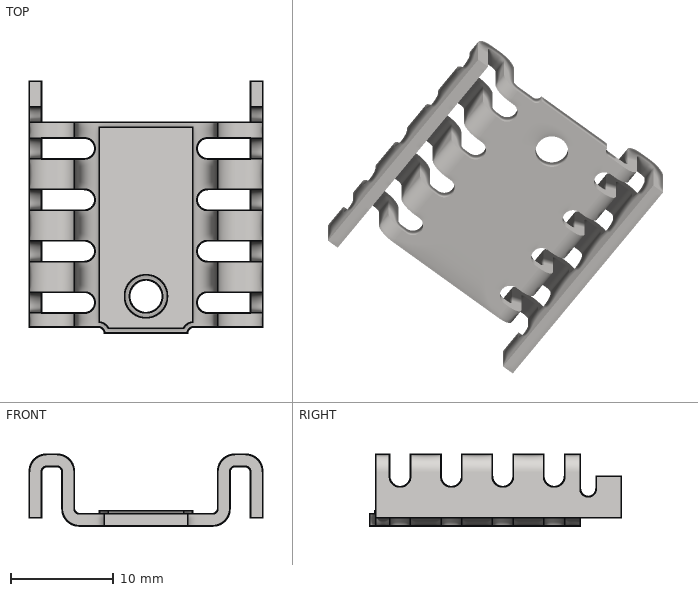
import cadquery as cq

width = 22.8
length = 24.6
height = 7.0
half_width = width / 2

sheet = 1.2
inner_bend = 0.5
outer_bend = inner_bend + sheet
fold_flat = 1.0
fold_width = 2 * outer_bend + fold_flat
leg_bottom = 0.79
leg_inner_x = half_width - sheet
riser_inner_x = half_width - fold_width
riser_outer_x = riser_inner_x + sheet
base_flat_end = riser_inner_x - inner_bend
bend_height = height - outer_bend

tab_depth = 0.6
wing_length = 4.0
fin_back = length - wing_length
fin_length = fin_back - tab_depth

slot_count = 4
first_slot_y = 2.98
slot_pitch = 5.02
slot_radius = 1.0
slot_inner_x = 5.0
leg_slot_bottom = 3.84

wing_top = 4.87
notch_radius = 0.76
notch_bottom = 2.88

tab_half_width = 4.05
hole_diameter = 3.2
hole_y = 3.6

pad_thickness = 0.3
pad_half_width = 4.55
pad_margin = 0.5
pad_hole_diameter = 4.2

corner_center_x = tab_half_width + tab_depth
pad_corner_radius = tab_depth + pad_margin


def half_channel():
    """Right half of the bent sheet, at constant section along the fins."""
    return (
        cq.Workplane("XZ", origin=(0, tab_depth, 0))
        .moveTo(0, 0)
        .lineTo(base_flat_end, 0)
        .tangentArcPoint((riser_outer_x, outer_bend), relative=False)
        .lineTo(riser_outer_x, bend_height)
        .tangentArcPoint((riser_outer_x + inner_bend, height - sheet), relative=False)
        .lineTo(leg_inner_x - inner_bend, height - sheet)
        .tangentArcPoint((leg_inner_x, bend_height), relative=False)
        .lineTo(leg_inner_x, leg_bottom)
        .lineTo(half_width, leg_bottom)
        .lineTo(half_width, bend_height)
        .tangentArcPoint((half_width - outer_bend, height), relative=False)
        .lineTo(riser_inner_x + outer_bend, height)
        .tangentArcPoint((riser_inner_x, bend_height), relative=False)
        .lineTo(riser_inner_x, outer_bend)
        .tangentArcPoint((base_flat_end, sheet), relative=False)
        .lineTo(0, sheet)
        .close()
        .extrude(-fin_length)
    )


def wing():
    """Extension of the outer leg behind the fins, with its round-bottomed notch."""
    notch_arc_z = notch_bottom + notch_radius
    notch_back = fin_back + 2 * notch_radius
    return (
        cq.Workplane("YZ", origin=(leg_inner_x, 0, 0))
        .moveTo(fin_back, leg_bottom)
        .lineTo(length, leg_bottom)
        .lineTo(length, wing_top)
        .lineTo(notch_back, wing_top)
        .lineTo(notch_back, notch_arc_z)
        .threePointArc((fin_back + notch_radius, notch_bottom), (fin_back, notch_arc_z))
        .close()
        .extrude(sheet)
    )


def slot_cutter(slot_y):
    """Round-ended slot through base, riser and fold, running down into the outer leg."""
    slot_width = 2 * slot_radius
    arc_center_x = slot_inner_x + slot_radius
    base_slot_length = leg_inner_x - arc_center_x
    leg_arc_z = leg_slot_bottom + slot_radius
    leg_slot_height = height - leg_arc_z

    base_end = cq.Workplane("XY").center(arc_center_x, slot_y).circle(slot_radius).extrude(height)
    base_run = (
        cq.Workplane("XY")
        .center(arc_center_x + base_slot_length / 2, slot_y)
        .rect(base_slot_length, slot_width)
        .extrude(height)
    )
    leg_plane = cq.Workplane("YZ", origin=(leg_inner_x, 0, 0))
    leg_end = leg_plane.center(slot_y, leg_arc_z).circle(slot_radius).extrude(sheet)
    leg_run = (
        leg_plane.center(slot_y, leg_arc_z + leg_slot_height / 2)
        .rect(slot_width, leg_slot_height)
        .extrude(sheet)
    )
    return base_end.union(base_run).union(leg_end).union(leg_run)


def finned_side():
    """Right half of the heatsink: channel, wing and slots."""
    side = half_channel().union(wing())
    for index in range(slot_count):
        slot_y = first_slot_y + index * slot_pitch
        side = side.cut(slot_cutter(slot_y))
    return side


def front_tab():
    """Tab on the front edge, blended into it by concave quarter rounds."""
    return (
        cq.Workplane("XY")
        .moveTo(-corner_center_x, tab_depth)
        .radiusArc((-tab_half_width, 0), tab_depth)
        .lineTo(tab_half_width, 0)
        .radiusArc((corner_center_x, tab_depth), tab_depth)
        .close()
        .extrude(sheet)
    )


def make_heatsink():
    """Folded heatsink with mirrored sides, front tab and mounting hole."""
    right_side = finned_side()
    hole = cq.Workplane("XY").center(0, hole_y).circle(hole_diameter / 2).extrude(sheet)
    return right_side.union(right_side.mirror("YZ")).union(front_tab()).cut(hole)


def make_pad():
    """Thin pad on the base, with cut front corners and a hole around the mounting hole."""
    pad_length = fin_back - 2 * pad_margin
    pad = (
        cq.Workplane("XY", origin=(0, pad_margin + pad_length / 2, sheet))
        .rect(2 * pad_half_width, pad_length)
        .extrude(pad_thickness)
    )
    corner_cuts = (
        cq.Workplane("XY", origin=(0, 0, sheet))
        .pushPoints([(-corner_center_x, 0), (corner_center_x, 0)])
        .circle(pad_corner_radius)
        .extrude(pad_thickness)
    )
    hole = (
        cq.Workplane("XY", origin=(0, hole_y, sheet))
        .circle(pad_hole_diameter / 2)
        .extrude(pad_thickness)
    )
    return pad.cut(corner_cuts).cut(hole)


heatsink = make_heatsink()
pad = make_pad()

result = cq.Compound.makeCompound([*heatsink.solids().vals(), *pad.solids().vals()])